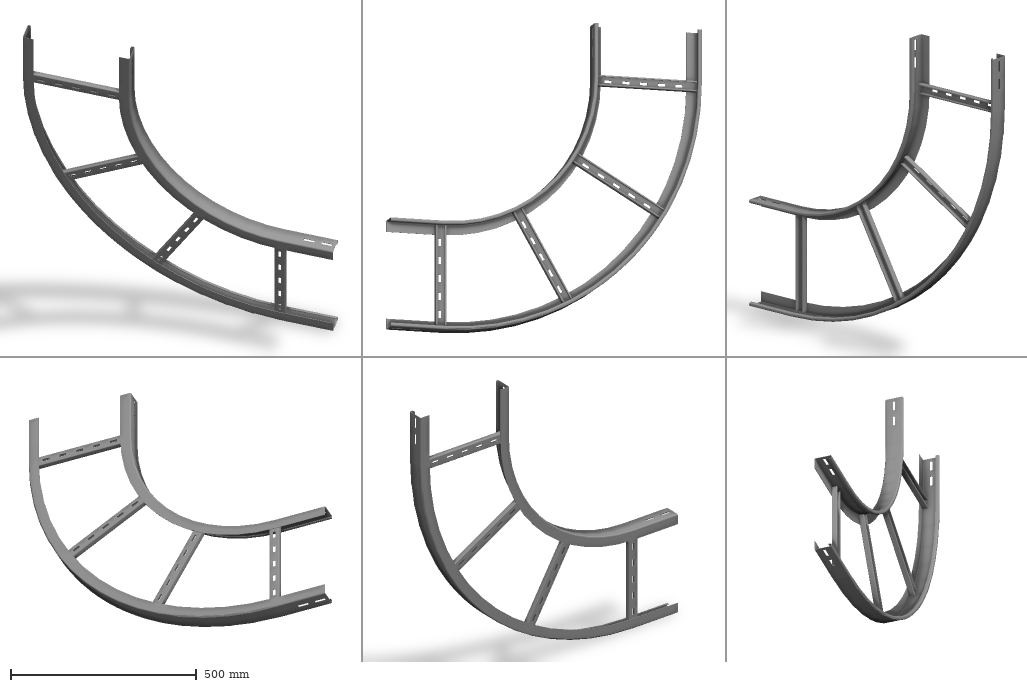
import cadquery as cq
import math

overall_size = 870.0
depth = 50.0
tray_width = 300.0
leg_length = 150.0
bend_angle = 90.0

sheet = 1.3
rail_bend = 3.9
rung_bend = 2.2

front_flange = 30.5
back_flange = 10.5
lip = 10.0

rung_count = 4
rung_width = 30.0
rung_depth = 16.0
rung_lip = 4.0
rung_end_gap = 5.0

slot_width = 7.0
slot_pitch = 50.0
rung_slot_length = 20.0
rung_slot_count = 5
leg_slot_length = 30.0
leg_slot_count = 2
end_slot_inset = 24.0

arc_center = overall_size - leg_length
halfway_angle = math.radians(bend_angle / 2)
rung_step = bend_angle / (rung_count - 1)


def corners_at(wire, points):
    """Vertices of a wire that lie on the given points."""
    return [v for v in wire.Vertices() for x, y in points if math.hypot(v.X - x, v.Y - y) < sheet / 10]


def folded_section(outside, inside, bend_radius):
    """Closed outline of a folded sheet; every corner between the ends of each side is a bend."""
    outline = cq.Wire.makePolygon([cq.Vector(x, y) for x, y in outside + inside[::-1]], close=True)
    outline = outline.fillet2D(bend_radius, corners_at(outline, outside[1:-1]))
    return outline.fillet2D(bend_radius - sheet, corners_at(outline, inside[1:-1]))


def rail_section(web_x, side):
    """Rail profile with its web outside at web_x and its flanges pointing along side (+1 or -1)."""
    outside = [(front_flange, 0), (0, 0), (0, depth), (back_flange, depth), (back_flange, depth - lip)]
    inside = [
        (front_flange, sheet),
        (sheet, sheet),
        (sheet, depth - sheet),
        (back_flange - sheet, depth - sheet),
        (back_flange - sheet, depth - lip),
    ]
    return folded_section(
        [(web_x + side * x, y) for x, y in outside],
        [(web_x + side * x, y) for x, y in inside],
        rail_bend,
    )


def make_rail(web_x, side):
    """Rail swept down one leg, around the quarter bend and along the other leg."""
    radius = arc_center - web_x
    halfway = arc_center - radius * math.cos(halfway_angle)
    path = (
        cq.Workplane("XZ")
        .moveTo(web_x, overall_size)
        .lineTo(web_x, arc_center)
        .threePointArc((halfway, halfway), (arc_center, web_x))
        .lineTo(overall_size, web_x)
    )
    section = rail_section(web_x, side).translate(cq.Vector(0, 0, overall_size))
    rail = cq.Workplane("XY").add(section).toPending().sweep(path, clean=False)
    return rail.cut(leg_slots(web_x), clean=False)


def leg_slots(web_x):
    """Cutters for the slots through the web near the end of both legs."""
    cutters = cq.Workplane("XY")
    reach = 2 * sheet
    for i in range(leg_slot_count):
        along = overall_size - end_slot_inset - i * slot_pitch
        upright = (
            cq.Workplane("YZ", origin=(web_x - reach, depth / 2, along))
            .rect(slot_width, leg_slot_length)
            .extrude(2 * reach)
        )
        level = (
            cq.Workplane("XY", origin=(along, depth / 2, web_x - reach))
            .rect(leg_slot_length, slot_width)
            .extrude(2 * reach)
        )
        cutters = cutters.add(upright).add(level)
    return cutters.combine()


def make_rung(angle):
    """Slotted rung turned about the center of the bend, 0 degrees lying along X."""
    half = rung_width / 2
    front = sheet
    back = front + rung_depth
    lip_end = half - rung_lip
    outside = [(-lip_end, back), (-half, back), (-half, front), (half, front), (half, back), (lip_end, back)]
    inner_half = half - sheet
    inner_back = back - sheet
    inner_front = front + sheet
    inside = [
        (-lip_end, inner_back),
        (-inner_half, inner_back),
        (-inner_half, inner_front),
        (inner_half, inner_front),
        (inner_half, inner_back),
        (lip_end, inner_back),
    ]
    length = tray_width - 2 * rung_end_gap
    section = folded_section(outside, inside, rung_bend)
    rung = (
        cq.Workplane("XY")
        .add(section)
        .toPending()
        .extrude(length)
        .rotate((0, 0, 0), (0, 1, 0), 90)
        .translate((rung_end_gap, 0, arc_center))
    )
    slots = (
        cq.Workplane("XZ", origin=(tray_width / 2, 0, arc_center))
        .rarray(slot_pitch, 9, rung_slot_count, 1)
        .rect(rung_slot_length, slot_width)
        .extrude(-rung_depth)
    )
    center = (arc_center, 0, arc_center)
    axis_end = (arc_center, 1, arc_center)
    return rung.cut(slots).rotate(center, axis_end, -angle)


outer_rail = make_rail(0, 1)
inner_rail = make_rail(tray_width, -1)
rungs = [make_rung(i * rung_step) for i in range(rung_count)]

result = cq.Compound.makeCompound([outer_rail.val(), inner_rail.val(), *[rung.val() for rung in rungs]])